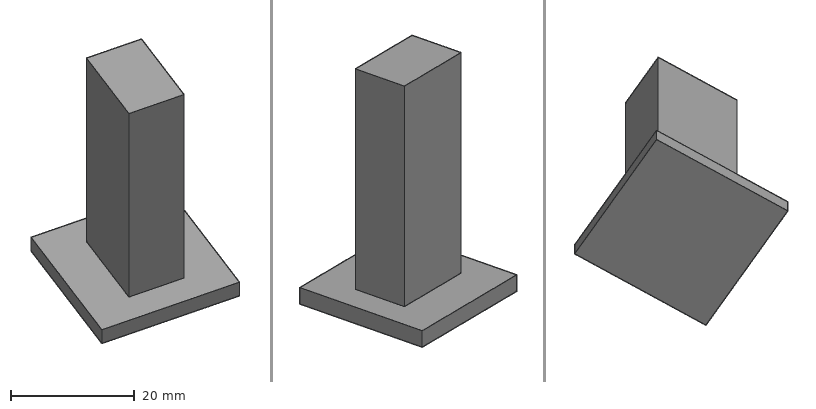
import cadquery as cq

total_height = 43.0
base_side = 25.0
base_thickness = 3.0
post_length = 15.0
post_width = 10.0

post_height = total_height - base_thickness

base = cq.Workplane("XY").box(base_side, base_side, base_thickness, centered=(True, True, False))

result = base.faces(">Z").workplane().rect(post_length, post_width).extrude(post_height)